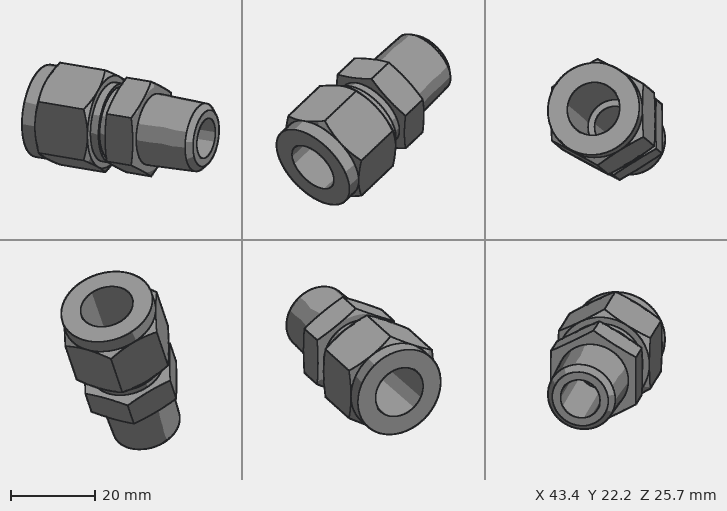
import cadquery as cq
import math

INCH = 25.4
HEX_SIDES = 6
OVERALL_LENGTH = 43.43

NUT_FLATS = 7 / 8 * INCH
NUT_COLLAR_LENGTH = 3.5
NUT_HEX_LENGTH = 14.0
NUT_CHAMFER_ANGLE = 30.0

SHOULDER_DIAMETER = 3 / 4 * INCH
SHOULDER_LENGTH = 2.1
NECK_DIAMETER = 17.65
NECK_LENGTH = 2.2
BODY_FLATS = 13 / 16 * INCH
BODY_HEX_LENGTH = 7.4
BODY_CHAMFER_ANGLE = 15.0

PIPE_DIAMETER = 0.675 * INCH
PIPE_CYLINDER_LENGTH = 0.55
PIPE_TAPER = 1 / 16
PIPE_CHAMFER = 1.4

TUBE_BORE_DIAMETER = 12.75
TUBE_BORE_DEPTH = 22.9
THROUGH_BORE_DIAMETER = 9.6

nut_hex_start = NUT_COLLAR_LENGTH
shoulder_start = nut_hex_start + NUT_HEX_LENGTH
neck_start = shoulder_start + SHOULDER_LENGTH
body_hex_start = neck_start + NECK_LENGTH
pipe_start = body_hex_start + BODY_HEX_LENGTH
taper_start = pipe_start + PIPE_CYLINDER_LENGTH
taper_end = OVERALL_LENGTH - PIPE_CHAMFER


def revolve_profile(points):
    """Turn an (X, radius) outline about the X axis."""
    return cq.Workplane("XY").polyline(points).close().revolve(360, (0, 0, 0), (1, 0, 0))


def cylinder(start, length, diameter):
    """Round bar along X."""
    return cq.Workplane("YZ").workplane(offset=start).circle(diameter / 2).extrude(length)


def chamfered_hexagon(start, length, flats, chamfer_angle):
    """Hexagon along X with corners at +Z and -Z, cut by a cone at each end."""
    flat_radius = flats / 2
    corner_radius = flat_radius / math.cos(math.pi / HEX_SIDES)
    chamfer_length = (corner_radius - flat_radius) * math.tan(math.radians(chamfer_angle))
    end = start + length
    prism = (
        cq.Workplane("YZ")
        .workplane(offset=start)
        .transformed(rotate=(0, 0, 90))
        .polygon(HEX_SIDES, 2 * corner_radius)
        .extrude(length)
    )
    envelope = revolve_profile([
        (start, 0),
        (start, flat_radius),
        (start + chamfer_length, corner_radius),
        (end - chamfer_length, corner_radius),
        (end, flat_radius),
        (end, 0),
    ])
    return prism.intersect(envelope)


def pipe_end():
    """Short cylinder, tapered length and end chamfer."""
    start_radius = PIPE_DIAMETER / 2
    taper_end_radius = start_radius - (taper_end - taper_start) * PIPE_TAPER / 2
    return revolve_profile([
        (pipe_start, 0),
        (pipe_start, start_radius),
        (taper_start, start_radius),
        (taper_end, taper_end_radius),
        (OVERALL_LENGTH, taper_end_radius - PIPE_CHAMFER),
        (OVERALL_LENGTH, 0),
    ])


outside = (
    cylinder(0, NUT_COLLAR_LENGTH, NUT_FLATS)
    .union(chamfered_hexagon(nut_hex_start, NUT_HEX_LENGTH, NUT_FLATS, NUT_CHAMFER_ANGLE))
    .union(cylinder(shoulder_start, SHOULDER_LENGTH, SHOULDER_DIAMETER))
    .union(cylinder(neck_start, NECK_LENGTH, NECK_DIAMETER))
    .union(chamfered_hexagon(body_hex_start, BODY_HEX_LENGTH, BODY_FLATS, BODY_CHAMFER_ANGLE))
    .union(pipe_end())
)

result = (
    outside
    .cut(cylinder(0, TUBE_BORE_DEPTH, TUBE_BORE_DIAMETER))
    .cut(cylinder(0, OVERALL_LENGTH, THROUGH_BORE_DIAMETER))
)